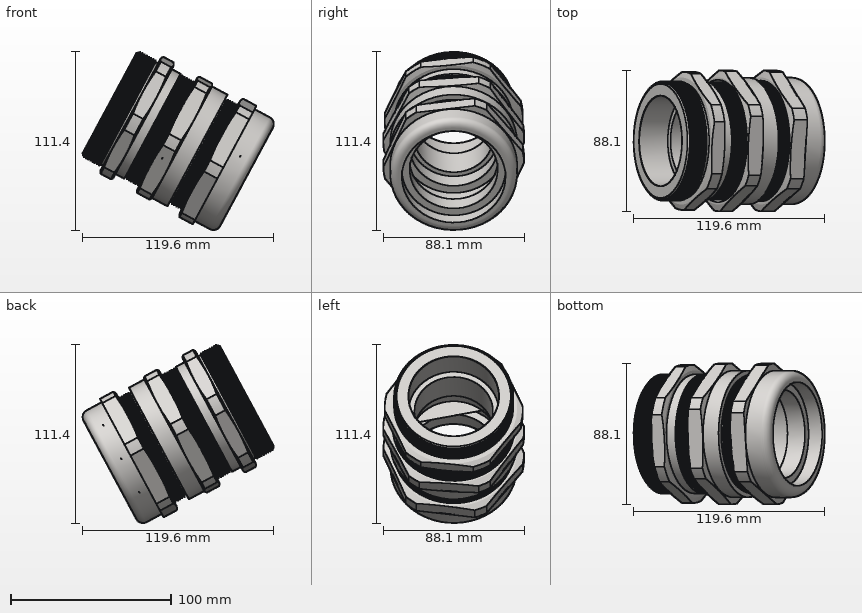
import cadquery as cq
import math

TILT = 28.25

THREAD_PITCH = 1.5
THREAD_DEPTH = 1.0
THREAD_CREST = 0.2
THREAD_ROOT = 0.4

ENTRY_THREAD_DIA = 74.7
ENTRY_THREAD_START = 1.2
ENTRY_THREAD_TEETH = 8
ENTRY_FACE_DIA = 71.3
ENTRY_CHAMFER_DIA = 73.7
ENTRY_CHAMFER_LENGTH = 1.1
ENTRY_HEX_START = 15.0
ENTRY_HEX_LENGTH = 9.3
ENTRY_HEX_CORNER_DIA = 86.5
ENTRY_HEX_TURN = 6.0
COLLAR_DIA = 74.5
COLLAR_END = 30.5
BODY_THREAD_DIA = 73.7
BODY_THREAD_START = 31.5
BODY_THREAD_TEETH = 8
ENTRY_BORE_DIA = 56.5
ENTRY_BORE_RIM_DIA = 56.8
ENTRY_BORE_DEPTH = 20.3
THROAT_DIA = 49.1
ENTRY_LENGTH = 45.3

MIDDLE_START = 40.8
MIDDLE_HEX_LENGTH = 10.8
MIDDLE_HEX_TURN = 4.2
MIDDLE_MOUTH_DIA = 76.5
MIDDLE_DIA = 79.3
MIDDLE_SHOULDER = 62.4
CAP_THREAD_DIA = 74.1
CAP_THREAD_START = 63.6
CAP_THREAD_TEETH = 7
MIDDLE_BORE_DIA = 55.0
CAVITY_START = 57.9
CAVITY_DIA = 65.0
MIDDLE_END = 75.3

WEB_THICKNESS = 0.2
WEB_EDGE_OFFSET = 17.0
WEB_TURN = 11.8

CAP_START = 71.2
CAP_HEX_LENGTH = 10.5
CAP_HEX_TURN = 7.4
CAP_ENTRY_DIA = 75.6
CAP_DIA = 79.4
CAP_FILLET = 4.8
CAP_MOUTH_START = 87.7
CAP_MOUTH_DIA = 64.8
GLAND_LENGTH = 97.2

HEX_FLATS = 80.0
HEX_CORNER_DIA = 88.1
HEX_FACE_DIA = 79.4
HEX_CHAMFER = 1.1

RING_BORE_DIA = 55.0


def turned(points):
    """Solid of revolution about X of the profile through (station, diameter) points."""
    (first, _), (last, _) = points[0], points[-1]
    outline = [(first, 0)] + [(station, dia / 2) for station, dia in points] + [(last, 0)]
    return cq.Workplane("XY").polyline(outline).close().revolve(360, (0, 0), (1, 0))


def rod(start, end, dia):
    return turned([(start, dia), (end, dia)])


def thread_points(start, teeth, dia):
    """Profile points of a row of trapezoidal teeth."""
    root = dia - 2 * THREAD_DEPTH
    flank = (THREAD_PITCH - THREAD_CREST - THREAD_ROOT) / 2
    points = []
    for tooth in range(teeth):
        foot = start + tooth * THREAD_PITCH
        crest = foot + flank
        points += [(foot, root), (crest, dia), (crest + THREAD_CREST, dia)]
        points += [(crest + THREAD_CREST + flank, root)]
    return points


def hexagon(start, length, corner_dia, turn, chamfer_back):
    """Hexagon whose corners are turned down to corner_dia and chamfered at the ends."""
    prism = (
        cq.Workplane("YZ", origin=(start, 0, 0))
        .polygon(6, HEX_FLATS / math.cos(math.radians(30)))
        .extrude(length)
        .rotate((0, 0, 0), (1, 0, 0), turn)
    )
    end = start + length
    blank = [(start, HEX_FACE_DIA), (start + HEX_CHAMFER, corner_dia)]
    if chamfer_back:
        blank += [(end - HEX_CHAMFER, corner_dia), (end, HEX_FACE_DIA)]
    else:
        blank += [(end, corner_dia)]
    return prism.intersect(turned(blank))


def make_entry_body():
    entry_root = ENTRY_THREAD_DIA - 2 * THREAD_DEPTH
    body_root = BODY_THREAD_DIA - 2 * THREAD_DEPTH
    profile = [(0, ENTRY_FACE_DIA), (ENTRY_CHAMFER_LENGTH, ENTRY_CHAMFER_DIA)]
    profile += thread_points(ENTRY_THREAD_START, ENTRY_THREAD_TEETH, ENTRY_THREAD_DIA)
    profile += [(ENTRY_HEX_START, entry_root), (ENTRY_HEX_START, COLLAR_DIA), (COLLAR_END, COLLAR_DIA)]
    profile += [(COLLAR_END, body_root)]
    profile += thread_points(BODY_THREAD_START, BODY_THREAD_TEETH, BODY_THREAD_DIA)
    profile += [(ENTRY_LENGTH, body_root)]
    bore_chamfer = (ENTRY_BORE_RIM_DIA - ENTRY_BORE_DIA) / 2
    bore = [
        (0, ENTRY_BORE_RIM_DIA),
        (bore_chamfer, ENTRY_BORE_DIA),
        (ENTRY_BORE_DEPTH, ENTRY_BORE_DIA),
        (ENTRY_BORE_DEPTH, THROAT_DIA),
        (ENTRY_LENGTH, THROAT_DIA),
    ]
    hex_part = hexagon(ENTRY_HEX_START, ENTRY_HEX_LENGTH, ENTRY_HEX_CORNER_DIA, ENTRY_HEX_TURN, True)
    return turned(profile).union(hex_part).cut(turned(bore))


def make_web():
    disc = rod(CAVITY_START, CAVITY_START + WEB_THICKNESS, CAVITY_DIA)
    upper_side = (
        cq.Workplane("XY", origin=(0, 0, WEB_EDGE_OFFSET))
        .box(GLAND_LENGTH, CAVITY_DIA, CAVITY_DIA, centered=(False, True, False))
        .rotate((0, 0, 0), (1, 0, 0), -WEB_TURN)
    )
    return disc.intersect(upper_side)


def make_middle_body():
    hex_end = MIDDLE_START + MIDDLE_HEX_LENGTH
    cap_root = CAP_THREAD_DIA - 2 * THREAD_DEPTH
    profile = [(hex_end, MIDDLE_DIA), (MIDDLE_SHOULDER, MIDDLE_DIA)]
    profile += [(MIDDLE_SHOULDER, cap_root)]
    profile += thread_points(CAP_THREAD_START, CAP_THREAD_TEETH, CAP_THREAD_DIA)
    profile += [(MIDDLE_END, cap_root)]
    mouth_chamfer = (MIDDLE_MOUTH_DIA - BODY_THREAD_DIA) / 2
    bore = [
        (MIDDLE_START, MIDDLE_MOUTH_DIA),
        (MIDDLE_START + mouth_chamfer, BODY_THREAD_DIA),
        (ENTRY_LENGTH, BODY_THREAD_DIA),
        (ENTRY_LENGTH, MIDDLE_BORE_DIA),
        (CAVITY_START, MIDDLE_BORE_DIA),
        (CAVITY_START, CAVITY_DIA),
        (MIDDLE_END, CAVITY_DIA),
    ]
    hex_part = hexagon(MIDDLE_START, MIDDLE_HEX_LENGTH, HEX_CORNER_DIA, MIDDLE_HEX_TURN, True)
    return turned(profile).union(hex_part).cut(turned(bore)).union(make_web())


def make_cap():
    hex_end = CAP_START + CAP_HEX_LENGTH
    dome = rod(hex_end, GLAND_LENGTH, CAP_DIA).faces(">X").edges().fillet(CAP_FILLET)
    entry_chamfer = (CAP_ENTRY_DIA - CAP_THREAD_DIA) / 2
    bore = [
        (CAP_START, CAP_ENTRY_DIA),
        (CAP_START + entry_chamfer, CAP_THREAD_DIA),
        (CAP_MOUTH_START, CAP_THREAD_DIA),
        (CAP_MOUTH_START, CAP_MOUTH_DIA),
        (GLAND_LENGTH, CAP_MOUTH_DIA),
    ]
    hex_part = hexagon(CAP_START, CAP_HEX_LENGTH, HEX_CORNER_DIA, CAP_HEX_TURN, False)
    return dome.union(hex_part).cut(turned(bore))


def make_clamp_ring():
    outside = rod(MIDDLE_END, CAP_MOUTH_START, CAP_THREAD_DIA)
    return outside.cut(rod(MIDDLE_END, CAP_MOUTH_START, RING_BORE_DIA))


def tilted(body):
    return body.rotate((0, 0, 0), (0, 1, 0), TILT)


entry_body = tilted(make_entry_body())
middle_body = tilted(make_middle_body())
cap = tilted(make_cap())
clamp_ring = tilted(make_clamp_ring())

result = cq.Compound.makeCompound([
    entry_body.val(),
    middle_body.val(),
    cap.val(),
    clamp_ring.val(),
])